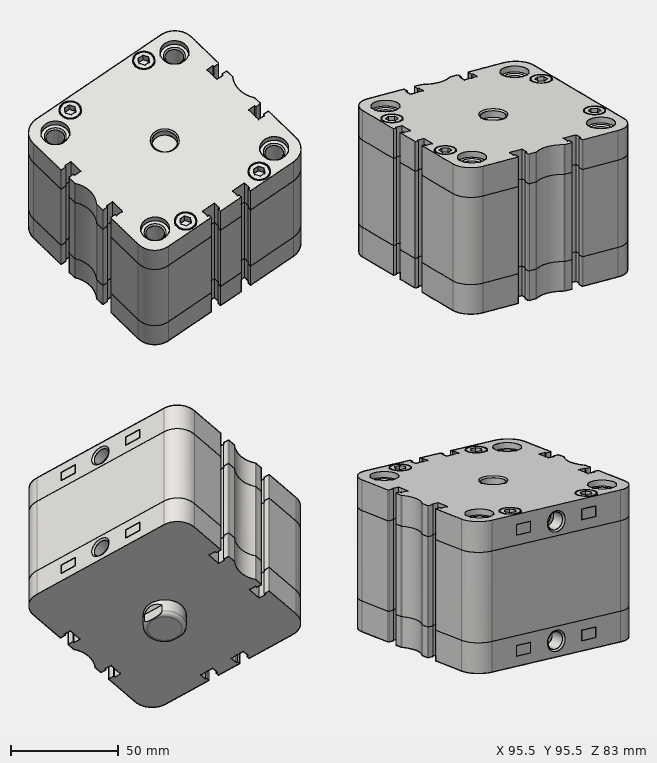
import cadquery as cq
import math

side = 95.5
half_side = side / 2
corner_radius = 10.0
cap_height = 15.0
barrel_height = 44.0
barrel_base = cap_height
upper_cap_base = barrel_base + barrel_height
block_top = upper_cap_base + cap_height

slot_mouth_width = 5.5
slot_inner_width = 7.2
y_face_slot_spacing = 30.1
y_face_slot_depth = 6.6
y_face_lip = 3.0
x_face_slot_spacing = 18.1
x_face_slot_depth = 5.35
x_face_lip = 1.7
slot_edge_radius = 0.4

flute_width = 15.7
flute_depth = 2.5
flute_radius = ((flute_width / 2) ** 2 + flute_depth ** 2) / (2 * flute_depth)
flute_edge_radius = 0.7

mount_spacing = 72.0
mount_recess_diameter = 13.5
mount_recess_depth = 3.0
mount_hole_diameter = 8.6
mount_chamfer_diameter = 10.1

screw_spacing_x = 83.3
screw_spacing_y = 44.5
screw_recess_diameter = 10.3
screw_head_diameter = 9.55
screw_gap_depth = 1.0
hex_across_flats = 5.0
hex_diameter = hex_across_flats / math.cos(math.pi / 6)
hex_turn = 30
hex_depth = 3.5

centre_hole_diameter = 13.5
centre_floor_diameter = 12.0
centre_hole_depth = 4.0

port_mouth_diameter = 10.3
port_diameter = 8.6
port_depth = 8.6
port_inset = 7.9
plug_depth = 7.6

label_inset = 7.5
label_spacing = 38.2
label_width = 8.3
label_height = 5.2
label_depth = 0.2

rod_diameter = 20.0
rod_projection = 9.0
rod_end_radius = 2.0
flats_width = 17.0
flats_start = 1.7


def t_slot(mouth_x, depth, lip):
    """T-slot cutter whose mouth is at mouth_x on the +X side and centred on Y = 0."""
    floor_x = mouth_x - depth
    inner = cq.Workplane("XY").box(depth - lip, slot_inner_width, block_top, centered=(False, True, False))
    mouth = cq.Workplane("XY").box(depth, slot_mouth_width, block_top, centered=(False, True, False))
    return inner.union(mouth).translate((floor_x, 0, 0))


def block_profile():
    """The full-height grooved block from which the three housing bodies are cut."""
    block = cq.Workplane("XY").rect(side, side).extrude(block_top).edges("|Z").fillet(corner_radius)
    x_slot = t_slot(half_side, x_face_slot_depth, x_face_lip)
    y_slot = t_slot(half_side, y_face_slot_depth, y_face_lip)
    flute_centre = half_side - flute_depth + flute_radius
    for sign in (-1, 1):
        block = block.cut(x_slot.translate((0, sign * x_face_slot_spacing / 2, 0)))
        for quarter_turn in (-90, 90):
            turned_slot = y_slot.rotate((0, 0, 0), (0, 0, 1), quarter_turn)
            block = block.cut(turned_slot.translate((sign * y_face_slot_spacing / 2, 0, 0)))
        flute = cq.Workplane("XY").center(0, sign * flute_centre).circle(flute_radius).extrude(block_top)
        block = block.cut(flute)
    return round_groove_edges(block)


def vertical_edges_at(x, y):
    """Selector for the full-height edge at the plan position (x, y)."""
    reach = 0.1
    return cq.selectors.BoxSelector((x - reach, y - reach, 0), (x + reach, y + reach, block_top))


def round_groove_edges(block):
    """Round the slot mouths and flute edges on both Y faces."""
    for sign in (-1, 1):
        for edge_side in (-1, 1):
            mouth_edge = sign * y_face_slot_spacing / 2 + edge_side * slot_mouth_width / 2
            for face_y in (-half_side, half_side):
                block = block.edges(vertical_edges_at(mouth_edge, face_y)).fillet(slot_edge_radius)
            flute_selector = vertical_edges_at(edge_side * flute_width / 2, sign * half_side)
            block = block.edges(flute_selector).fillet(flute_edge_radius)
    return block


def block_slice(base, height):
    """The part of the block from base up to base + height."""
    slab = cq.Workplane("XY").workplane(offset=base).rect(side, side).extrude(height)
    return block_profile().intersect(slab)


def stepped_cutter(mouth_diameter, diameter, depth):
    """Blind hole along -Z from the origin with a 45 degree chamfer at its mouth."""
    chamfer = (mouth_diameter - diameter) / 2
    hole = cq.Workplane("XY").circle(diameter / 2).extrude(-depth)
    mouth = cq.Solid.makeCone(diameter / 2, mouth_diameter / 2, chamfer, cq.Vector(0, 0, -chamfer))
    return hole.union(cq.Workplane(mouth))


def cut_mounting_holes(cap):
    recess = cq.Workplane("XY").circle(mount_recess_diameter / 2).extrude(-mount_recess_depth)
    hole = stepped_cutter(mount_chamfer_diameter, mount_hole_diameter, cap_height - mount_recess_depth)
    cutter = recess.union(hole.translate((0, 0, -mount_recess_depth)))
    for x in (-mount_spacing / 2, mount_spacing / 2):
        for y in (-mount_spacing / 2, mount_spacing / 2):
            cap = cap.cut(cutter.translate((x, y, block_top)))
    return cap


def cut_screw_heads(cap):
    gap = (
        cq.Workplane("XY")
        .circle(screw_recess_diameter / 2)
        .circle(screw_head_diameter / 2)
        .extrude(-screw_gap_depth)
    )
    socket = cq.Workplane("XY").polygon(6, hex_diameter).extrude(-hex_depth)
    cutter = gap.add(socket.rotate((0, 0, 0), (0, 0, 1), hex_turn)).combine()
    for x in (-screw_spacing_x / 2, screw_spacing_x / 2):
        for y in (-screw_spacing_y / 2, screw_spacing_y / 2):
            cap = cap.cut(cutter.translate((x, y, block_top)))
    return cap


def cut_port(cap, z, depth):
    """Chamfered air port in the -X face at height z."""
    port = stepped_cutter(port_mouth_diameter, port_diameter, depth)
    return cap.cut(port.rotate((0, 0, 0), (0, 1, 0), -90).translate((-half_side, 0, z)))


def cut_plug_socket(cap, z):
    """Hexagon socket of the plug that closes the upper port."""
    socket = cq.Workplane("YZ").polygon(6, hex_diameter).extrude(hex_depth)
    return cap.cut(socket.translate((-half_side + plug_depth, 0, z)))


def cut_label_panels(cap, z):
    for y in (-label_spacing / 2, label_spacing / 2):
        panel = cq.Workplane("XY").box(label_depth, label_width, label_height, centered=(False, True, True))
        cap = cap.cut(panel.translate((-half_side, y, z)))
    return cap


def make_upper_cap():
    port_z = block_top - port_inset
    cap = block_slice(upper_cap_base, cap_height)
    cap = cut_mounting_holes(cap)
    cap = cut_screw_heads(cap)
    centre_hole = stepped_cutter(centre_hole_diameter, centre_floor_diameter, centre_hole_depth)
    cap = cap.cut(centre_hole.translate((0, 0, block_top)))
    cap = cut_port(cap, port_z, plug_depth)
    cap = cut_plug_socket(cap, port_z)
    return cut_label_panels(cap, block_top - label_inset)


def make_barrel():
    return block_slice(barrel_base, barrel_height)


def make_lower_cap():
    cap = block_slice(0, cap_height)
    rod_hole = cq.Workplane("XY").circle(rod_diameter / 2).extrude(cap_height)
    cap = cap.cut(rod_hole)
    cap = cut_port(cap, port_inset, port_depth)
    return cut_label_panels(cap, label_inset)


def make_rod():
    rod_length = rod_projection + cap_height
    rod = cq.Workplane("XY").workplane(offset=-rod_projection).circle(rod_diameter / 2).extrude(rod_length)
    rod = rod.faces("<Z").edges().fillet(rod_end_radius)
    rod_radius = rod_diameter / 2
    flat_x = flats_width / 2
    slope = rod_radius - flat_x
    for sign in (-1, 1):
        flat = (
            cq.Workplane("XZ")
            .moveTo(sign * flat_x, -rod_projection)
            .lineTo(sign * flat_x, -flats_start - slope)
            .lineTo(sign * rod_radius, -flats_start)
            .lineTo(sign * rod_radius, -rod_projection)
            .close()
            .extrude(rod_radius, both=True)
        )
        rod = rod.cut(flat)
    return rod


upper_cap = make_upper_cap()
barrel = make_barrel()
lower_cap = make_lower_cap()
rod = make_rod()

result = cq.Compound.makeCompound([upper_cap.val(), barrel.val(), lower_cap.val(), rod.val()])